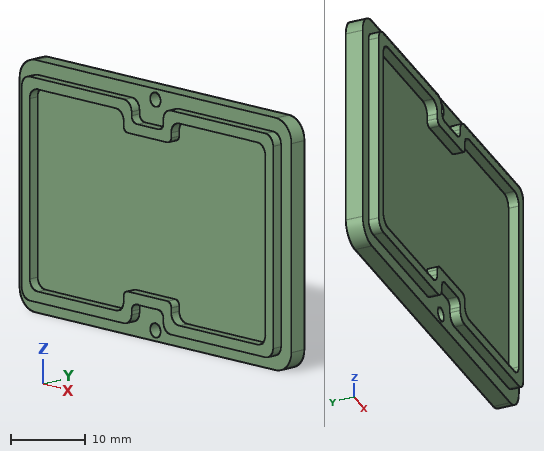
import cadquery as cq

plate_width = 52.0
plate_height = 35.0
plate_thickness = 2.5
plate_corner_radius = 3.0

lip_inset = 2.0
lip_wall = 1.5
lip_height = 1.5
lip_corner_radius = 1.5

notch_width = 6.1
notch_depth = 3.0
notch_mouth_radius = 1.45
notch_floor_radius = 1.05
inner_notch_mouth_radius = 1.5
inner_notch_floor_radius = 0.8

hole_diameter = 2.0
hole_edge_distance = 1.5

selection_margin = 0.05

lip_width = plate_width - 2 * lip_inset
lip_span = plate_height - 2 * lip_inset


def rounded_block(width, height, depth, radius):
    """Block centred in X and Z, rising from Y = 0 toward -Y."""
    return cq.Workplane("XZ").rect(width, height).extrude(depth).edges("|Y").fillet(radius)


def notched_block(width, height, notch, mouth_radius, floor_radius):
    """Rounded block of lip height with a notch in its top and bottom edges."""
    block = rounded_block(width, height, lip_height, lip_corner_radius)
    for side in (-1, 1):
        cutter = (
            cq.Workplane("XZ")
            .center(0, side * height / 2)
            .rect(notch, 2 * notch_depth)
            .extrude(lip_height)
            .edges("|Y")
            .fillet(floor_radius)
        )
        block = block.cut(cutter)
    mouth_x = notch / 2 + selection_margin
    for side in (-1, 1):
        edge_z = side * height / 2
        mouth = cq.selectors.BoxSelector(
            (-mouth_x, -lip_height, edge_z - selection_margin),
            (mouth_x, 0, edge_z + selection_margin),
        )
        block = block.edges("|Y").edges(mouth).fillet(mouth_radius)
    return block


plate = rounded_block(plate_width, plate_height, plate_thickness, plate_corner_radius)
plate = plate.translate((0, plate_thickness, 0))

lip_outer = notched_block(
    lip_width, lip_span, notch_width, notch_mouth_radius, notch_floor_radius
)
lip_recess = notched_block(
    lip_width - 2 * lip_wall,
    lip_span - 2 * lip_wall,
    notch_width + 2 * lip_wall,
    inner_notch_mouth_radius,
    inner_notch_floor_radius,
)
lip = lip_outer.cut(lip_recess)

hole_offset = plate_height / 2 - hole_edge_distance
holes = (
    cq.Workplane("XZ")
    .pushPoints([(0, hole_offset), (0, -hole_offset)])
    .circle(hole_diameter / 2)
    .extrude(-plate_thickness)
)

result = plate.union(lip).cut(holes)